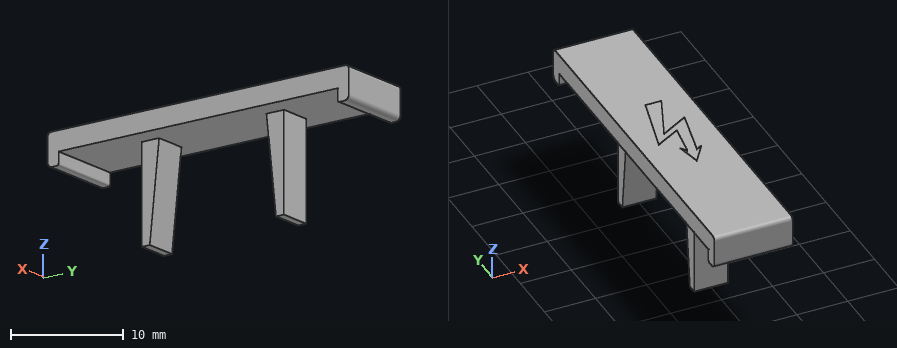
import cadquery as cq

plate_length = 33.3
plate_width = 7.7
plate_thickness = 2.0

lip_thickness = 1.23
lip_bottom = -3.3
top_edge_radius = 0.4
lip_edge_radius = 0.5
lip_inner_edge_radius = 0.2

leg_width = 3.33
leg_bottom = -11.75
leg_outer_y = 7.85
leg_root_thickness = 1.93
leg_tip_thickness = 0.9

arrow_depth = 0.33
arrow_outline = [
    (-0.33, 5.0),
    (1.23, 5.0),
    (-0.8, 0.15),
    (1.95, 1.75),
    (0.8, -3.25),
    (1.4, -2.93),
    (0.0, -4.93),
    (-0.45, -2.53),
    (-0.05, -3.13),
    (0.45, 0.2),
    (-1.95, -1.2),
]


def make_lipped_plate():
    """Flat plate with a rounded lip at each end."""
    blank = (
        cq.Workplane("XY")
        .box(plate_width, plate_length, -lip_bottom, centered=(True, True, False))
        .translate((0, 0, lip_bottom))
    )
    recess_length = plate_length - 2 * lip_thickness
    recess_depth = -lip_bottom - plate_thickness
    recess = (
        cq.Workplane("XY", origin=(0, 0, lip_bottom))
        .rect(plate_width, recess_length)
        .extrude(recess_depth)
    )
    return (
        blank.cut(recess)
        .faces(">Z").edges("|X").fillet(top_edge_radius)
        .faces("<Z").edges("|X").edges("not(>Y or <Y)").fillet(lip_inner_edge_radius)
        .faces("<Z").edges("|X").edges(">Y or <Y").fillet(lip_edge_radius)
    )


def make_leg(side):
    """Tapered leg on the +Y (side = 1) or -Y (side = -1) half of the plate."""
    profile = [
        (side * leg_outer_y, -plate_thickness),
        (side * leg_outer_y, leg_bottom),
        (side * (leg_outer_y - leg_tip_thickness), leg_bottom),
        (side * (leg_outer_y - leg_root_thickness), -plate_thickness),
    ]
    return cq.Workplane("YZ").polyline(profile).close().extrude(leg_width / 2, both=True)


def make_arrow():
    """Arrow inlay whose top is level with the plate."""
    return cq.Workplane("XY").polyline(arrow_outline).close().extrude(-arrow_depth)


def make_cover(arrow):
    """Plate with both legs and the pocket that receives the arrow."""
    body = make_lipped_plate()
    for side in (-1, 1):
        body = body.union(make_leg(side))
    return body.cut(arrow)


arrow = make_arrow()
cover = make_cover(arrow)
result = cq.Compound.makeCompound([cover.solids().val(), arrow.val()])